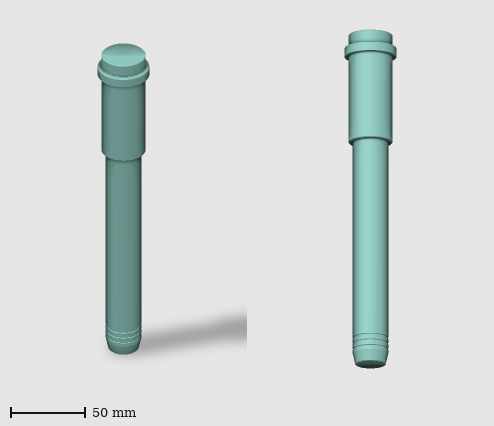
import cadquery as cq

TOTAL_LENGTH = 230.0
SHOULDER_HEIGHT = 155.0
COLLAR_BOTTOM = 214.8
COLLAR_TOP = 221.0
TAPER_HEIGHT = 7.5

SHAFT_DIAMETER = 24.0
HEAD_DIAMETER = 30.0
COLLAR_DIAMETER = 35.0
TIP_DIAMETER = 20.5

EDGE_CHAMFER = 0.5

GROOVE_WIDTH = 1.0
GROOVE_DEPTH = GROOVE_WIDTH / 2
TIP_GROOVE_COUNT = 3
TIP_GROOVE_PITCH = 4.0
LOWEST_TIP_GROOVE = 10.5


def cylinder(diameter, bottom, top):
    return cq.Workplane("XY").workplane(offset=bottom).circle(diameter / 2).extrude(top - bottom)


def chamfer_end(body, end):
    """Chamfer the rim of the flat end face picked by the selector."""
    return body.faces(end).edges().chamfer(EDGE_CHAMFER)


def v_groove(diameter, center_height):
    """Ring cutter with a diamond section; its inner half leaves a V groove in the given diameter."""
    radius = diameter / 2
    section = (
        cq.Workplane("XZ")
        .moveTo(radius, center_height - GROOVE_WIDTH / 2)
        .lineTo(radius - GROOVE_DEPTH, center_height)
        .lineTo(radius, center_height + GROOVE_WIDTH / 2)
        .lineTo(radius + GROOVE_DEPTH, center_height)
        .close()
    )
    return section.revolve(360, (0, 0, 0), (0, 1, 0))


def make_shaft():
    straight = cylinder(SHAFT_DIAMETER, TAPER_HEIGHT, SHOULDER_HEIGHT)
    taper = (
        cq.Workplane("XY")
        .circle(TIP_DIAMETER / 2)
        .workplane(offset=TAPER_HEIGHT)
        .circle(SHAFT_DIAMETER / 2)
        .loft()
    )
    shaft = chamfer_end(straight.union(taper), "<Z")
    groove_heights = [LOWEST_TIP_GROOVE + i * TIP_GROOVE_PITCH for i in range(TIP_GROOVE_COUNT)]
    groove_heights.append(SHOULDER_HEIGHT - GROOVE_WIDTH / 2)
    for height in groove_heights:
        shaft = shaft.cut(v_groove(SHAFT_DIAMETER, height))
    return shaft


def make_head():
    head = cylinder(HEAD_DIAMETER, SHOULDER_HEIGHT, TOTAL_LENGTH)
    for end in ("<Z", ">Z"):
        head = chamfer_end(head, end)
    for height in (COLLAR_BOTTOM - GROOVE_WIDTH / 2, COLLAR_TOP + GROOVE_WIDTH / 2):
        head = head.cut(v_groove(HEAD_DIAMETER, height))
    return head


def make_collar():
    return chamfer_end(cylinder(COLLAR_DIAMETER, COLLAR_BOTTOM, COLLAR_TOP), ">Z")


result = make_shaft().union(make_head()).union(make_collar())